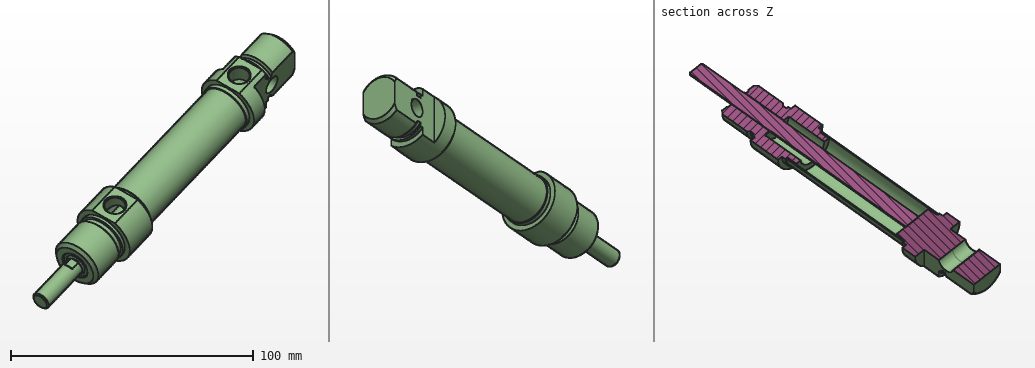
import cadquery as cq


total_length = 166.0
rod_projection = 24.0
nose_reach = 20.0

flange_diameter = 26.9
flange_length = 15.8
flange_flat_height = 12.1
collar_diameter = 22.2
collar_length = 2.0
nose_diameter = 21.9
nose_end_chamfer = 1.5
nose_back_chamfer = 0.8
neck_diameter = 19.8
neck_length = 2.0
land_length = 1.5

port_diameter = 8.6
port_chamfer = 0.5
port_depth = 8.0
drill_tip_height = 2.5

tube_outer_diameter = 21.2
tube_bore = 20.0
spigot_length = 5.0

rod_diameter = 8.0
rod_tip_diameter = 6.6
rod_tip_chamfer_length = 0.5
rod_flat_width = 7.0
rod_flat_start = 19.6

chamber_diameter = 14.1
chamber_setback = 2.5
gland_diameter = 12.0
gland_depth = 0.5
gland_chamfer = 0.5
lip_root_diameter = 9.6
lip_tip_diameter = 8.5
lip_projection = 0.3

eye_width = 16.0
eye_flat_length = 28.2
eye_hole_diameter = 8.0
eye_hole_from_end = 16.0

front_shoulder = rod_projection + nose_reach
rear_shoulder = total_length - nose_reach
front_port = front_shoulder + flange_length / 2
rear_port = rear_shoulder - flange_length / 2
tube_start = front_shoulder + flange_length + collar_length
tube_end = rear_shoulder - flange_length - collar_length


def disc(diameter, start, end):
    """Cylinder around the Y axis between two Y positions."""
    return cq.Workplane("XZ", origin=(0, start, 0)).circle(diameter / 2).extrude(start - end)


def cone(start_diameter, start, end_diameter, end):
    """Truncated cone around the Y axis between two Y positions."""
    height = end - start
    return cq.Workplane(
        cq.Solid.makeCone(
            start_diameter / 2, end_diameter / 2, height, cq.Vector(0, start, 0), cq.Vector(0, 1, 0)
        )
    )


def cap_blank(shoulder, outward):
    """Turned cap with port flat; outward is -1 for the front cap and +1 for the rear cap."""
    nose_back = land_length + neck_length
    collar_end = -flange_length - collar_length
    nose_end_radius = nose_diameter / 2 - nose_end_chamfer
    profile = [
        (0, collar_end - spigot_length),
        (tube_bore / 2, collar_end - spigot_length),
        (tube_bore / 2, collar_end),
        (collar_diameter / 2, collar_end),
        (collar_diameter / 2, -flange_length),
        (flange_diameter / 2, -flange_length),
        (flange_diameter / 2, 0),
        (nose_diameter / 2, 0),
        (nose_diameter / 2, land_length),
        (neck_diameter / 2, land_length),
        (neck_diameter / 2, nose_back),
        (nose_diameter / 2, nose_back + nose_back_chamfer),
        (nose_diameter / 2, nose_reach - nose_end_chamfer),
        (nose_end_radius, nose_reach),
        (0, nose_reach),
    ]
    points = [(radius, shoulder + outward * reach) for radius, reach in profile]
    turned = cq.Workplane("XY").polyline(points).close().revolve(360, (0, 0, 0), (0, 1, 0))
    flat_cutter = cq.Workplane("XY", origin=(0, shoulder, flange_flat_height)).box(
        flange_diameter, 2 * total_length, flange_diameter, centered=(True, True, False)
    )
    return turned.cut(flat_cutter)


def port_cutter(port_y):
    """Chamfered blind port with a drill tip, entering from the port flat."""
    radius = port_diameter / 2
    floor = flange_flat_height - port_depth
    points = [
        (0, flange_flat_height),
        (radius + port_chamfer, flange_flat_height),
        (radius, flange_flat_height - port_chamfer),
        (radius, floor),
        (0, floor - drill_tip_height),
    ]
    profile = cq.Workplane("XZ").polyline(points).close()
    return profile.revolve(360, (0, 0, 0), (0, 1, 0)).translate((0, port_y, 0))


def make_front_cap():
    """Front cap with rod bore, gland recess and an open chamber below the port."""
    nose_front = rod_projection
    gland_floor = nose_front + gland_depth
    inner_end = tube_start + spigot_length
    cap = cap_blank(front_shoulder, -1).cut(port_cutter(front_port))
    cap = cap.cut(disc(rod_diameter, nose_front, inner_end))
    cap = cap.cut(disc(chamber_diameter, front_shoulder + chamber_setback, inner_end))
    cap = cap.cut(disc(gland_diameter, nose_front, gland_floor))
    mouth = gland_diameter + 2 * gland_chamfer
    cap = cap.cut(cone(mouth, nose_front, gland_diameter, nose_front + gland_chamfer))
    lip_front = nose_front - lip_projection
    lip = cone(lip_tip_diameter, lip_front, lip_root_diameter, gland_floor)
    return cap.union(lip.cut(disc(rod_diameter, lip_front, gland_floor)))


def make_rear_cap():
    """Rear cap whose nose is flattened into a pivot eye."""
    cap = cap_blank(rear_shoulder, 1).cut(port_cutter(rear_port))
    for side in (-1, 1):
        side_cutter = cq.Workplane("XY").box(flange_diameter, 2 * eye_flat_length, 2 * flange_diameter)
        cap = cap.cut(side_cutter.translate((side * (eye_width + flange_diameter) / 2, total_length, 0)))
    hole_y = total_length - eye_hole_from_end
    pivot_hole = cq.Workplane("YZ").center(hole_y, 0).circle(eye_hole_diameter / 2)
    return cap.cut(pivot_hole.extrude(flange_diameter, both=True))


def make_tube():
    """Plain tube carried on the cap spigots."""
    return disc(tube_outer_diameter, tube_start, tube_end).cut(disc(tube_bore, tube_start, tube_end))


def make_rod():
    """Rod with a chamfered tip and two wrench flats beside the nose."""
    rod = cone(rod_tip_diameter, 0, rod_diameter, rod_tip_chamfer_length)
    rod = rod.union(disc(rod_diameter, rod_tip_chamfer_length, tube_end - spigot_length))
    flat_length = rod_projection - rod_flat_start
    for side in (-1, 1):
        flat_cutter = cq.Workplane("XY").box(rod_diameter, flat_length, rod_diameter)
        flat_y = rod_flat_start + flat_length / 2
        rod = rod.cut(flat_cutter.translate((0, flat_y, side * (rod_flat_width + rod_diameter) / 2)))
    return rod


front_cap = make_front_cap()
rear_cap = make_rear_cap()
tube = make_tube()
rod = make_rod()

result = cq.Compound.makeCompound([front_cap.val(), rear_cap.val(), tube.val(), rod.val()])